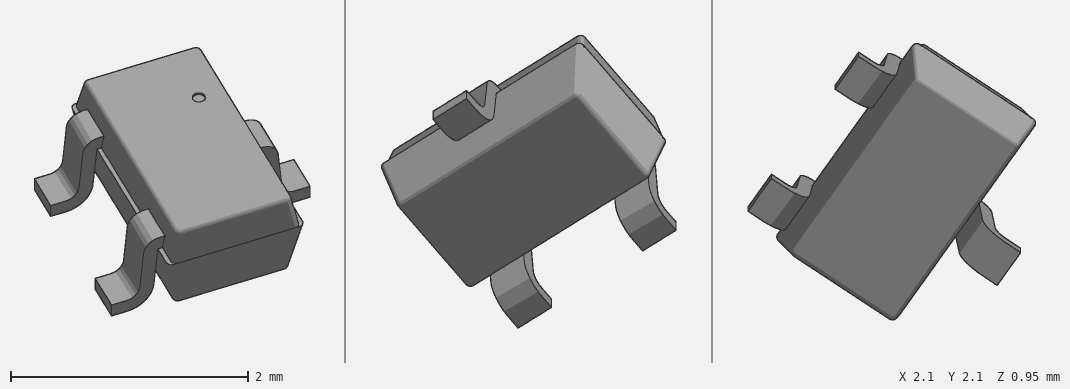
import cadquery as cq
import math


overall_depth = 2.1
overall_height = 0.95

lead_width = 0.35
lead_thickness = 0.13
lead_pitch = 1.3
lead_top_z = 0.76
foot_length = 0.14
leg_lean = math.radians(5)
shoulder_radius = 0.02
ankle_radius = 0.12
lead_inner_end_y = 0.4

body_length = 2.1
lower_depth = 1.25
ledge_width = 0.04
upper_depth = lower_depth - 2 * ledge_width
body_bottom_z = 0.05
parting_z = lead_top_z - lead_thickness
draft_angle = 10
edge_radius = 0.05

mark_diameter = 0.11
mark_depth = 0.02
mark_x = -0.41
mark_y = 0.28


def make_lower_half():
    """Lower half, tapering downward from the parting plane, with all but its top edges rounded."""
    height = parting_z - body_bottom_z
    block = (
        cq.Workplane("XY", origin=(0, 0, parting_z))
        .rect(body_length, lower_depth)
        .extrude(-height, taper=draft_angle)
    )
    return block.edges("not >Z").fillet(edge_radius)


def make_upper_half():
    """Upper half, tapering upward from the parting plane, with the pin 1 mark in its top."""
    block = (
        cq.Workplane("XY", origin=(0, 0, parting_z))
        .rect(body_length, upper_depth)
        .extrude(overall_height - parting_z, taper=draft_angle)
    )
    mark = (
        cq.Workplane("XY", origin=(mark_x, mark_y, overall_height - mark_depth))
        .circle(mark_diameter / 2)
        .extrude(mark_depth)
    )
    return block.edges("not <Z").fillet(edge_radius).cut(mark)


def point_on_bend(center, radius, angle):
    """Point of a bend in the (Y, Z) plane, with the angle measured from +Y."""
    return (center[0] + radius * math.cos(angle), center[1] + radius * math.sin(angle))


def make_lead(center_x):
    """Gull-wing lead whose foot points toward +Y."""
    toe_y = overall_depth / 2
    shoulder_outer = shoulder_radius + lead_thickness
    ankle_outer = ankle_radius + lead_thickness

    ankle = (toe_y - foot_length, ankle_outer)
    shoulder_z = parting_z - shoulder_radius
    radius_sum = shoulder_outer + ankle_radius
    bend_rise = shoulder_z - ankle[1]
    bend_run = radius_sum / math.cos(leg_lean) + bend_rise * math.tan(leg_lean)
    shoulder = (ankle[0] - bend_run, shoulder_z)

    up = math.pi / 2
    shoulder_middle = (up + leg_lean) / 2
    ankle_start = math.pi + leg_lean
    ankle_end = math.pi + up
    ankle_middle = (ankle_start + ankle_end) / 2

    profile = (
        cq.Workplane("YZ", origin=(center_x - lead_width / 2, 0, 0))
        .moveTo(lead_inner_end_y, lead_top_z)
        .lineTo(shoulder[0], lead_top_z)
        .threePointArc(
            point_on_bend(shoulder, shoulder_outer, shoulder_middle),
            point_on_bend(shoulder, shoulder_outer, leg_lean),
        )
        .lineTo(*point_on_bend(ankle, ankle_radius, ankle_start))
        .threePointArc(
            point_on_bend(ankle, ankle_radius, ankle_middle),
            point_on_bend(ankle, ankle_radius, ankle_end),
        )
        .lineTo(toe_y, lead_thickness)
        .lineTo(toe_y, 0)
        .lineTo(ankle[0], 0)
        .threePointArc(
            point_on_bend(ankle, ankle_outer, ankle_middle),
            point_on_bend(ankle, ankle_outer, ankle_start),
        )
        .lineTo(*point_on_bend(shoulder, shoulder_radius, leg_lean))
        .threePointArc(
            point_on_bend(shoulder, shoulder_radius, shoulder_middle),
            point_on_bend(shoulder, shoulder_radius, up),
        )
        .lineTo(lead_inner_end_y, parting_z)
        .close()
    )
    return profile.extrude(lead_width)


leads = [make_lead(0)]
for front_x in (-lead_pitch / 2, lead_pitch / 2):
    leads.append(make_lead(front_x).rotate((front_x, 0, 0), (front_x, 0, 1), 180))

lower_half = make_lower_half()
upper_half = make_upper_half()
for lead in leads:
    lower_half = lower_half.cut(lead)
    upper_half = upper_half.cut(lead)

result = cq.Compound.makeCompound([
    lower_half.solids().val(),
    upper_half.solids().val(),
    *[lead.val() for lead in leads],
])